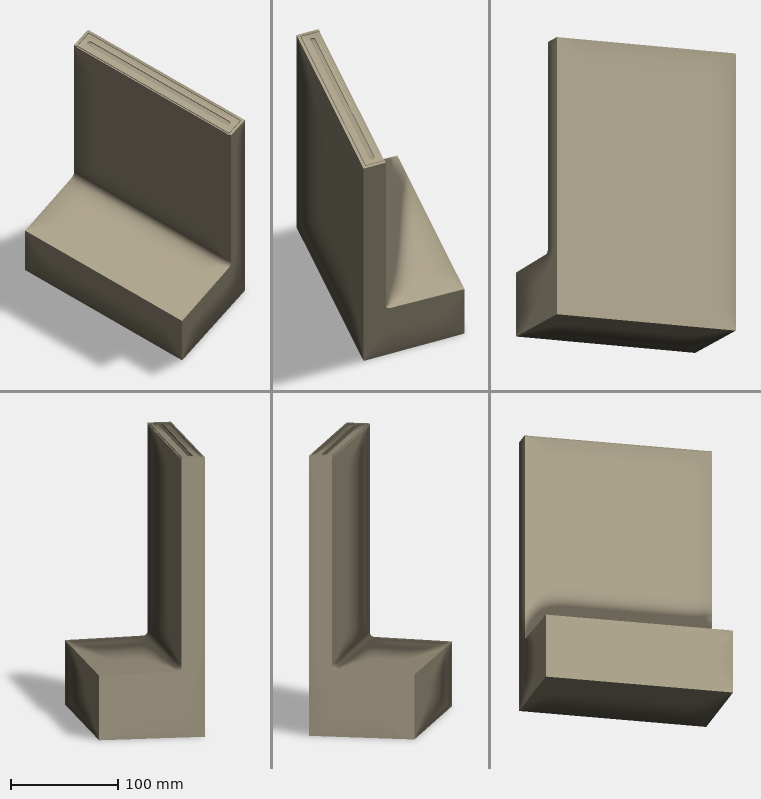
import cadquery as cq

width = 180.3
depth = 100.2
height = 265.2

wall_thickness = 22.0
step_front_height = 61.3
step_back_height = 63.0
step_fillet = 4.5

rim = 2.7
recess_depth = 1.3
recess_width = width - 2 * rim
recess_length = wall_thickness - rim

clearance = 0.5
front_clearance = 1.0
insert_width = recess_width - 2 * clearance
insert_length = recess_length - clearance - front_clearance

slot_end_margin = 5.3
slot_width = 5.0
slot_length = insert_width - 2 * slot_end_margin

wall_front = depth - wall_thickness
recess_center_y = wall_front + recess_length / 2
insert_center_y = wall_front + front_clearance + insert_length / 2
recess_floor = height - recess_depth


def top_plate(size_x, size_y, center_y):
    """Rectangular plate that fills the recess from its floor to the top of the wall."""
    return (
        cq.Workplane("XY", origin=(0, center_y, recess_floor))
        .rect(size_x, size_y)
        .extrude(recess_depth)
    )


def make_housing():
    """L-shaped housing with a filleted step and an open recess in its top."""
    profile = [
        (0, 0),
        (depth, 0),
        (depth, height),
        (wall_front, height),
        (wall_front, step_back_height),
        (0, step_front_height),
    ]
    body = (
        cq.Workplane("YZ", origin=(-width / 2, 0, 0))
        .polyline(profile)
        .close()
        .extrude(width)
    )
    inner_corner = cq.NearestToPointSelector((0, wall_front, step_back_height))
    body = body.edges("|X").edges(inner_corner).fillet(step_fillet)
    return body.cut(top_plate(recess_width, recess_length, recess_center_y))


def make_insert():
    """Flat insert, flush with the top of the wall, with a round-ended slot through it."""
    slot = (
        cq.Workplane("XY", origin=(0, insert_center_y, recess_floor))
        .slot2D(slot_length, slot_width)
        .extrude(recess_depth)
    )
    return top_plate(insert_width, insert_length, insert_center_y).cut(slot)


housing = make_housing()
insert = make_insert()
result = cq.Compound.makeCompound([housing.val(), insert.val()])